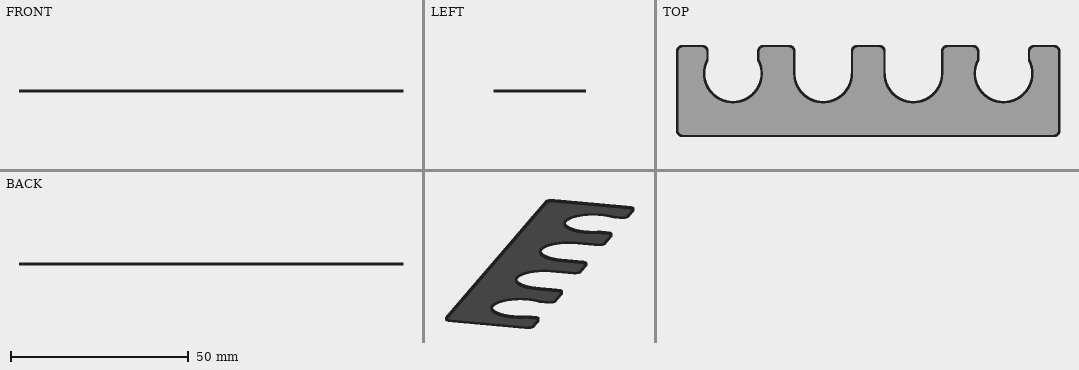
import cadquery as cq

length = 107.7
width = 25.4
thickness = 0.38
corner_radius = 1.6
top_edge = width / 2

bay_count = 4
bay_pitch = 25.4
bay_radius = 8.1
bay_center_y = 5.0
straight_mouth = 2 * bay_radius
narrow_mouth = 14.2


def bay_cutter(center_x, mouth_width):
    """Round seat plus the straight mouth leading from it to the top edge."""
    mouth_length = top_edge - bay_center_y
    seat = (
        cq.Workplane("XY")
        .center(center_x, bay_center_y)
        .circle(bay_radius)
        .extrude(thickness)
    )
    mouth = (
        cq.Workplane("XY")
        .center(center_x, bay_center_y + mouth_length / 2)
        .rect(mouth_width, mouth_length)
        .extrude(thickness)
    )
    return seat.union(mouth)


plate = cq.Workplane("XY").rect(length, width).extrude(thickness)

for index in range(bay_count):
    bay_x = (index - (bay_count - 1) / 2) * bay_pitch
    is_end_bay = index in (0, bay_count - 1)
    mouth_width = narrow_mouth if is_end_bay else straight_mouth
    plate = plate.cut(bay_cutter(bay_x, mouth_width))

finger_corners = plate.faces(">Y").edges("|Z")
bottom_corners = plate.faces("<Y").edges("|Z")
result = finger_corners.add(bottom_corners).fillet(corner_radius)